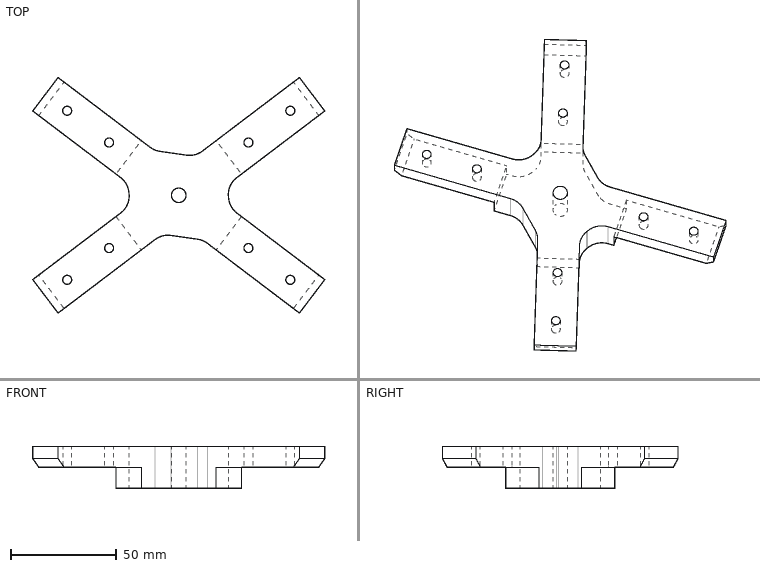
import cadquery as cq
import math

arm_angle = 37.15
arm_width = 20.0
arm_thickness = 10.0
length_x = 139.1

total_height = 20.0
hub_arm_length = 29.9

side_web_long = 23.0
side_web_short = 21.3
end_web_long = 22.1
end_web_short = 17.5
web_fillet = 10.0

bevel_height = 4.2
bevel_length = 3.6

center_hole_diameter = 6.8
arm_hole_diameter = 4.2
arm_hole_distances = (41.6, 66.6)

half_width = arm_width / 2
cos_arm = math.cos(math.radians(arm_angle))
sin_arm = math.sin(math.radians(arm_angle))
arm_length = (length_x / 2 - half_width * sin_arm) / cos_arm
arm_directions = (arm_angle, 180 - arm_angle, 180 + arm_angle, 360 - arm_angle)


def arm_point(direction, along, across):
    """Point at a distance along an arm and to the left of its centre line."""
    angle = math.radians(direction)
    x = along * math.cos(angle) - across * math.sin(angle)
    y = along * math.sin(angle) + across * math.cos(angle)
    return (x, y)


def cross(reach, bottom, height):
    """Four-armed prism with webs, rounded where the webs meet the arms."""
    web_starts = [(side_web_short, end_web_short), (end_web_long, side_web_long)] * 2
    points = []
    web_corners = []
    for direction, (right_web, left_web) in zip(arm_directions, web_starts):
        right_corner = arm_point(direction, right_web, -half_width)
        left_corner = arm_point(direction, left_web, half_width)
        points.append(right_corner)
        points.append(arm_point(direction, reach, -half_width))
        points.append(arm_point(direction, reach, half_width))
        points.append(left_corner)
        web_corners += [right_corner, left_corner]
    body = cq.Workplane("XY").workplane(offset=bottom).polyline(points).close().extrude(height)
    middle = bottom + height / 2
    for x, y in web_corners:
        edge = cq.selectors.NearestToPointSelector((x, y, middle))
        body = body.edges("|Z").edges(edge).fillet(web_fillet)
    return body


def tip_bevel(direction):
    """Triangular wedge that slopes the underside of an arm tip."""
    bottom = total_height - arm_thickness
    wedge = (
        cq.Workplane("XZ")
        .polyline([
            (arm_length, bottom),
            (arm_length, bottom + bevel_height),
            (arm_length - bevel_length, bottom),
        ])
        .close()
        .extrude(half_width, both=True)
    )
    return wedge.rotate((0, 0, 0), (0, 0, 1), direction)


def drill(points, diameter):
    return cq.Workplane("XY").pushPoints(points).circle(diameter / 2).extrude(total_height)


arms = cross(arm_length, total_height - arm_thickness, arm_thickness)
hub = cross(hub_arm_length, 0, total_height)
result = arms.union(hub)

for arm_direction in arm_directions:
    result = result.cut(tip_bevel(arm_direction))

arm_holes = [arm_point(d, along, 0) for d in arm_directions for along in arm_hole_distances]
result = result.cut(drill(arm_holes, arm_hole_diameter))
result = result.cut(drill([(0, 0)], center_hole_diameter))